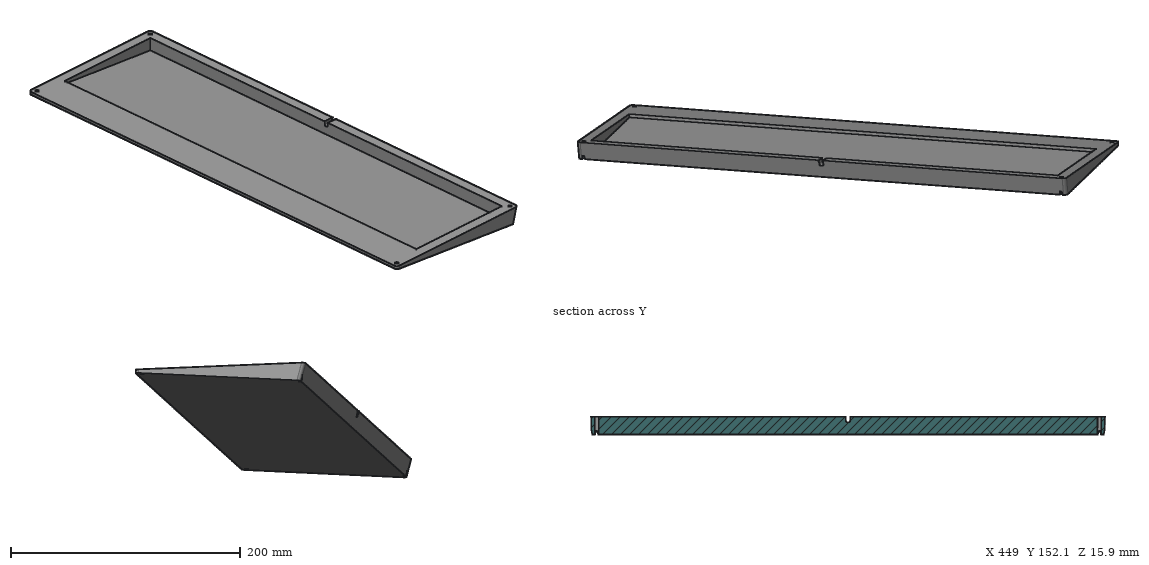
import cadquery as cq
import math

width = 449.0
overall_depth = 152.05
body_depth = 151.5
height = 15.88
front_height = 3.0
bottom_angle = 5.0
corner_radius = 3.0

side_wall = 10.0
back_wall = 10.0
pocket_length = 107.0
pocket_front_depth = 3.0

hole_diameter = 3.2
hole_inset = 5.0

notch_width = 3.8
notch_depth = 4.5
notch_overrun = 1.0
lip_thickness = 0.2
lip_height = 2.0

slope = math.tan(math.radians(bottom_angle))
bottom_back_y = (height - front_height) / slope
back_lean = (body_depth - bottom_back_y) / height
pocket_back_y = body_depth - back_wall
pocket_front_y = pocket_back_y - pocket_length
pocket_back_depth = pocket_front_depth + pocket_length * slope


def extrude_profile(points, length):
    """Extrude a Y-Z outline along X, centred on X = 0."""
    return cq.Workplane("YZ").polyline(points).close().extrude(length / 2, both=True)


def make_body():
    """Wedge with an upright front, a leaning back and rounded corners."""
    outline = [
        (0, 0),
        (body_depth, 0),
        (bottom_back_y, -height),
        (0, -front_height),
    ]
    body = extrude_profile(outline, width)
    body = body.faces("<Y").edges("|Z").fillet(corner_radius)
    return body.faces(">Y").edges("not(|X)").fillet(corner_radius)


def make_lips():
    """Block parallel to the back face; the notch later splits it into two lips."""
    outline = [
        (pocket_back_y, 0),
        (overall_depth, 0),
        (overall_depth - back_lean * lip_height, -lip_height),
        (pocket_back_y, -lip_height),
    ]
    return extrude_profile(outline, notch_width + 2 * lip_thickness)


def make_pocket():
    outline = [
        (pocket_front_y, 0),
        (pocket_back_y, 0),
        (pocket_back_y, -pocket_back_depth),
        (pocket_front_y, -pocket_front_depth),
    ]
    return extrude_profile(outline, width - 2 * side_wall)


def make_holes():
    x = width / 2 - hole_inset
    rows = (hole_inset, body_depth - hole_inset)
    centres = [(side * x, y) for side in (-1, 1) for y in rows]
    return cq.Workplane("XY").pushPoints(centres).circle(hole_diameter / 2).extrude(-height)


def make_notch():
    """U-shaped cutter running through the back wall, parallel to the bottom."""
    radius = notch_width / 2
    start_y = pocket_back_y - notch_overrun
    profile = (
        cq.Workplane("XZ", origin=(0, start_y, 0))
        .moveTo(-radius, notch_depth)
        .lineTo(-radius, radius - notch_depth)
        .threePointArc((0, -notch_depth), (radius, radius - notch_depth))
        .lineTo(radius, notch_depth)
        .close()
    )
    notch = profile.extrude(-(back_wall + 2 * notch_overrun + overall_depth - body_depth))
    return notch.rotate((0, pocket_back_y, 0), (1, pocket_back_y, 0), -bottom_angle)


result = make_body().union(make_lips())
result = result.cut(make_pocket()).cut(make_holes()).cut(make_notch())